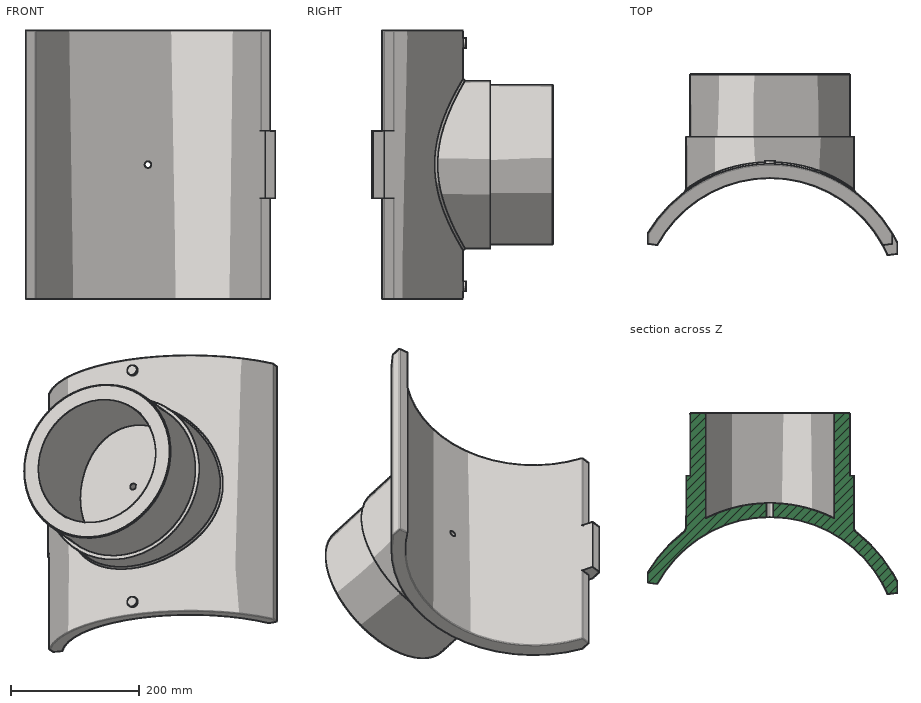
import cadquery as cq
import math

shell_inner_radius = 200.0
shell_thickness = 22.4
shell_outer_radius = shell_inner_radius + shell_thickness
shell_mid_radius = shell_inner_radius + shell_thickness / 2
shell_length = 420.0
shell_half_width = 191.0
shell_half_angle = 61.5
shell_edge_fillet = 1.5

lug_length = 105.0
lug_side_x = 199.0
lug_half_angle = 66.5

end_face_rise = 2.0

spigot_diameter = 250.0
spigot_length = 98.0
spigot_chamfer = 1.5
collar_diameter = 262.5
collar_base_chamfer = 3.0
bore_diameter = 200.0
overall_depth = 283.0
lug_tip_y = shell_inner_radius * math.cos(math.radians(lug_half_angle))
spigot_end_y = lug_tip_y + overall_depth
collar_end_y = spigot_end_y - spigot_length

pilot_diameter = 10.0

boss_diameter = 16.0
boss_height = 4.5
boss_offset_z = 190.0


def point_at_angle(radius, degrees):
    """Point in the XY plane at an angle measured from +Y toward +X."""
    angle = math.radians(degrees)
    return (radius * math.sin(angle), radius * math.cos(angle))


def point_at_x(radius, x):
    """Point on the +Y half of a circle at a given X."""
    return (x, math.sqrt(radius**2 - x**2))


def sector(left_side_x, left_angle, right_side_x, right_angle, length):
    """Arched plate with upright sides, centred on Z = 0."""
    inner_left = point_at_angle(shell_inner_radius, left_angle)
    inner_right = point_at_angle(shell_inner_radius, right_angle)
    middle_angle = (left_angle + right_angle) / 2
    return (
        cq.Workplane("XY", origin=(0, 0, -length / 2))
        .moveTo(*inner_left)
        .threePointArc(point_at_angle(shell_inner_radius, middle_angle), inner_right)
        .lineTo(right_side_x, inner_right[1] + end_face_rise)
        .lineTo(*point_at_x(shell_outer_radius, right_side_x))
        .threePointArc(
            point_at_angle(shell_outer_radius, middle_angle),
            point_at_x(shell_outer_radius, left_side_x),
        )
        .lineTo(left_side_x, inner_left[1] + end_face_rise)
        .close()
        .extrude(length)
    )


def cylinder_along_y(diameter, end_y, z=0.0):
    """Solid cylinder parallel to Y in the plane X = 0, from the shell axis to end_y."""
    return cq.Workplane("XZ", origin=(0, 0, z)).circle(diameter / 2).extrude(-end_y)


def cylinder_outside(radius, diameter, end_y, z=0.0):
    """Part of a cylinder parallel to Y that lies outside a radius about the shell axis."""
    core = cq.Workplane("XY").circle(radius).extrude(shell_length, both=True)
    return cylinder_along_y(diameter, end_y, z).cut(core)


def make_shell():
    """Main arched plate with all its edges rounded."""
    plate = sector(-shell_half_width, -shell_half_angle, shell_half_width, shell_half_angle, shell_length)
    return plate.edges().fillet(shell_edge_fillet)


def make_lug():
    """Short plate from the shell crest to past the +X edge of the shell."""
    return sector(0, 0, lug_side_x, lug_half_angle, lug_length)


def add_collar(body):
    """Join the collar and bevel the seam where it meets the shell."""
    collar = cylinder_outside(shell_mid_radius, collar_diameter, collar_end_y)
    joined = body.union(collar)
    reach = collar_diameter / 2 + collar_base_chamfer
    seam_zone = cq.selectors.BoxSelector(
        (-reach, 0, -reach),
        (reach, shell_outer_radius + collar_base_chamfer, reach),
        boundingbox=True,
    )
    return joined.edges(seam_zone).edges("%BSPLINE").chamfer(collar_base_chamfer)


def make_spigot():
    """Pipe end beyond the collar, with its outer rim chamfered."""
    spigot = cylinder_outside(shell_mid_radius, spigot_diameter, spigot_end_y)
    return spigot.faces(">Y").edges().chamfer(spigot_chamfer)


def make_boss(z):
    """Round terminal boss rising from the shell crest."""
    boss_end_y = shell_outer_radius + boss_height
    return cylinder_outside(shell_mid_radius, boss_diameter, boss_end_y, z)


def make_bore():
    """Bore of the branch, ending on the outer surface of the shell."""
    return cylinder_outside(shell_outer_radius, bore_diameter, spigot_end_y)


def make_pilot_hole():
    """Hole through the shell wall into the bore."""
    return cylinder_along_y(pilot_diameter, spigot_end_y)


result = add_collar(make_shell()).union(make_spigot()).union(make_lug())
for boss_z in (-boss_offset_z, boss_offset_z):
    result = result.union(make_boss(boss_z))
result = result.cut(make_bore()).cut(make_pilot_hole())